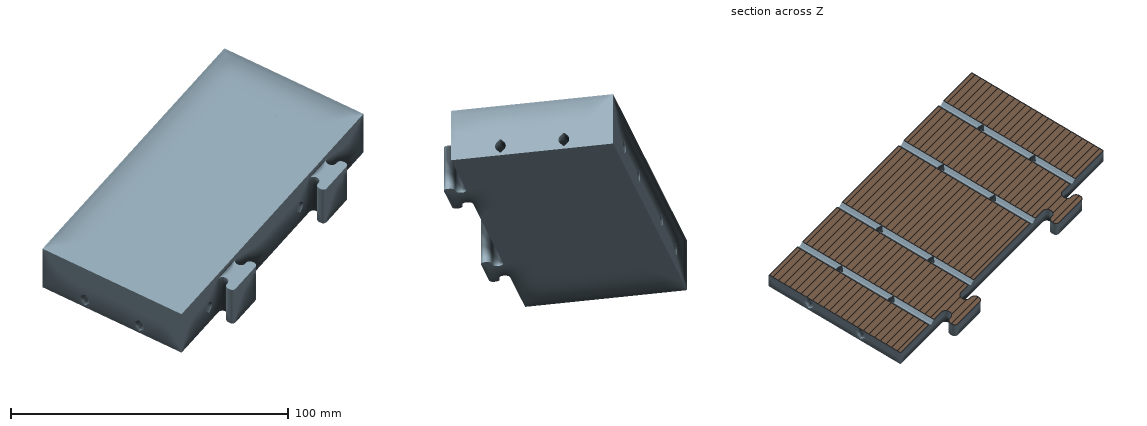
import cadquery as cq
import math

tile_size = 59.975
tile_count = 2
block_width = 59.97
block_length = tile_count * tile_size
block_height = 20.0
block_right = block_width / 2

hole_radius = 2.0
hole_tip_height = 2.6
hole_offset = 11.75
hole_height_along_x = 7.75
hole_height_along_y = 3.75

wall_thickness = 2.0
connector_height = 17.5
neck_length = 4.0
neck_width = 8.0
head_width = 16.0
head_thickness = 4.0
connector_fillet = 1.8
head_outer_fillet = 1.5

inlay_depth = 1.0
digit_top = 11.9
digit_bottom = -12.2
stroke = 2.85

five_left = -7.3
five_right = 6.7
five_stem_top = -5.8
five_stem_foot = -1.15
five_stem_width = 2.65
five_bar_stroke = 3.1
five_tick_bottom = 7.3
five_tick_width = 2.6
five_notch = (-3.85, 2.4)
five_bowl_top = 3.5
five_bowl_middle = (-0.3, -4.1)
five_tail_top = -5.75
five_tail_width = 2.65
five_bowl_stroke = 3.05
five_foot_drop = 0.4

six_left = -7.7
six_right = 7.55
six_stem_width = 3.4
six_top_stroke = 2.4
six_top_middle = 1.2
six_left_middle = -0.7
six_tip_outer = (5.25, 11.3)
six_tip_inner = (4.8, 8.6)
six_notch = (-4.3, 2.2)
six_bowl_top = 3.9
six_bowl_middle = (0.2, -4.0)
six_eye_left = -4.6
six_eye_right = 4.4
six_eye_floor = 2.5
six_eye_shoulder = -1.2
six_eye_crown = -3.3
six_tip_middle = 3.6

bend_fullness = 4 / 3 * (math.sqrt(2) - 1)

tile_centres = [(i - (tile_count - 1) / 2) * tile_size for i in range(tile_count)]


def hole_profile(plane, origin):
    """Circle with tangent 45 degree flanks, ending in a narrow flat above and below."""
    tip = hole_radius * math.sqrt(2) - hole_tip_height
    tangent = hole_radius / math.sqrt(2)
    return (
        cq.Workplane(plane, origin=origin)
        .moveTo(-tip, hole_tip_height)
        .lineTo(tip, hole_tip_height)
        .lineTo(tangent, tangent)
        .threePointArc((hole_radius, 0), (tangent, -tangent))
        .lineTo(tip, -hole_tip_height)
        .lineTo(-tip, -hole_tip_height)
        .lineTo(-tangent, -tangent)
        .threePointArc((-hole_radius, 0), (-tangent, tangent))
        .close()
    )


def make_hole_along_x(y):
    profile = hole_profile("YZ", (0, y, hole_height_along_x))
    return profile.extrude(block_width / 2, both=True)


def make_hole_along_y(x):
    profile = hole_profile("XZ", (x, 0, hole_height_along_y))
    return profile.extrude(block_length / 2, both=True)


def make_connector(y):
    """T-shaped rail; its neck flares out tangentially where it meets the block."""
    neck = cq.Workplane("XY").box(neck_length, neck_width, connector_height, centered=False)
    head = cq.Workplane("XY").box(head_thickness, head_width, connector_height, centered=False)
    wall = cq.Workplane("XY").box(wall_thickness, head_width, connector_height, centered=False)
    rail = (
        neck.translate((0, -neck_width / 2, 0))
        .union(head.translate((neck_length, -head_width / 2, 0)))
        .union(wall.translate((-wall_thickness, -head_width / 2, 0)))
    )
    rail = rail.edges("|Z").edges(">X").fillet(head_outer_fillet)
    fillet_corners = [
        (0, neck_width / 2),
        (neck_length, neck_width / 2),
        (neck_length, head_width / 2),
    ]
    fillet_edges = [
        edge
        for edge in rail.edges("|Z").vals()
        if (round(edge.Center().x, 3), round(abs(edge.Center().y), 3)) in fillet_corners
    ]
    rail = rail.newObject(fillet_edges).fillet(connector_fillet)
    return rail.translate((block_right, y, 0))


def inlay_plane(y):
    return cq.Workplane("XY", origin=(0, y, block_height - inlay_depth))


def add_bends(outline, start, bends):
    """Chain quarter-ellipse bends; each is (corner, end), its tangents crossing at the corner."""
    for corner, end in bends:
        controls = [
            tuple(p + bend_fullness * (c - p) for p, c in zip(point, corner))
            for point in (start, end)
        ]
        outline = outline.bezier([*controls, end], includeCurrent=True)
        start = end
    return outline


def make_five(y):
    stem_slope = (five_stem_top - five_left) / (digit_top - five_stem_foot)
    bar_bottom = digit_top - five_bar_stroke
    bar_inner_left = five_notch[0] + stem_slope * (bar_bottom - five_notch[1])
    tick_left = five_right - five_tick_width
    stem_foot_inner = (five_left + five_stem_width, five_stem_foot - five_foot_drop)
    tail_right = five_left + five_tail_width
    middle_x, middle_y = five_bowl_middle
    inner_right = five_right - five_bowl_stroke
    inner_top = five_bowl_top - stroke
    inner_bottom = digit_bottom + stroke
    outline = (
        inlay_plane(y)
        .moveTo(five_stem_top, digit_top)
        .lineTo(five_right, digit_top)
        .lineTo(five_right, five_tick_bottom)
        .lineTo(tick_left, five_tick_bottom)
        .lineTo(tick_left, bar_bottom)
        .lineTo(bar_inner_left, bar_bottom)
        .lineTo(*five_notch)
    )
    outline = add_bends(outline, five_notch, [
        ((five_notch[0] / 2, five_bowl_top), (middle_x, five_bowl_top)),
        ((five_right, five_bowl_top), (five_right, middle_y)),
        ((five_right, digit_bottom), (middle_x, digit_bottom)),
        ((five_left, digit_bottom), (five_left, five_tail_top)),
    ])
    outline = add_bends(outline.lineTo(tail_right, five_tail_top), (tail_right, five_tail_top), [
        ((tail_right, inner_bottom), (middle_x, inner_bottom)),
        ((inner_right, inner_bottom), (inner_right, middle_y)),
        ((inner_right, inner_top), (middle_x, inner_top)),
        ((five_notch[0], inner_top), stem_foot_inner),
    ])
    return outline.lineTo(five_left, five_stem_foot).close().extrude(inlay_depth)


def make_six(y):
    middle_x, middle_y = six_bowl_middle
    stem_right = six_left + six_stem_width
    inner_top = digit_top - six_top_stroke
    outline = add_bends(inlay_plane(y).moveTo(*six_tip_outer), six_tip_outer, [
        ((six_tip_middle, digit_top), (six_top_middle, digit_top)),
        ((six_left, digit_top), (six_left, six_left_middle)),
        ((six_left, digit_bottom), (middle_x, digit_bottom)),
        ((six_right, digit_bottom), (six_right, middle_y)),
        ((six_right, six_bowl_top), (middle_x, six_bowl_top)),
        ((six_notch[0] / 2, six_bowl_top), six_notch),
    ])
    outline = add_bends(outline, six_notch, [
        ((stem_right, inner_top), (six_top_middle, inner_top)),
        ((six_tip_middle, inner_top), six_tip_inner),
    ])
    eye_top = six_bowl_top - stroke
    eye_bottom = digit_bottom + six_eye_floor
    eye_start = (middle_x, eye_top)
    eye = add_bends(inlay_plane(y).moveTo(*eye_start), eye_start, [
        ((six_eye_right, eye_top), (six_eye_right, middle_y)),
        ((six_eye_right, eye_bottom), (middle_x, eye_bottom)),
        ((six_eye_left, eye_bottom), (six_eye_left, six_eye_shoulder)),
        ((six_eye_crown, eye_top), eye_start),
    ])
    return outline.close().extrude(inlay_depth).cut(eye.close().extrude(inlay_depth))


def make_block(inlays):
    block = cq.Workplane("XY").box(block_width, block_length, block_height, centered=(True, True, False))
    for y in tile_centres:
        block = block.union(make_connector(y))
    for side in (-1, 1):
        block = block.cut(make_hole_along_y(side * hole_offset))
        for y in tile_centres:
            block = block.cut(make_hole_along_x(y + side * hole_offset))
    for inlay in inlays:
        block = block.cut(inlay)
    return block


digit_five = make_five(tile_centres[0])
digit_six = make_six(tile_centres[1])
block = make_block([digit_five, digit_six])

result = cq.Compound.makeCompound([block.val(), digit_five.val(), digit_six.val()])